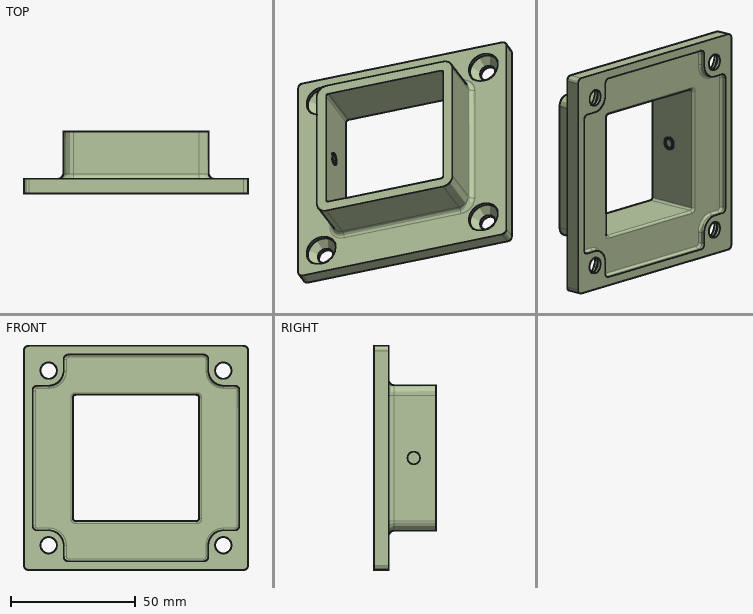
import cadquery as cq
import math

flange_side = 90.0
flange_thickness = 6.0
flange_corner_radius = 2.0

total_depth = 25.0
collar_side = 58.5
collar_corner_radius = 4.05
collar_base_fillet = 2.0

opening_side = 50.5
opening_corner_radius = 1.0
opening_rim_fillet = 1.0
collar_wall = (collar_side - opening_side) / 2

recess_depth = 2.5
recess_margin = 3.5
recess_corner_radius = 2.0
recess_floor_fillet = 1.0
notch_radius = 12.0 / 2
recess_half_side = flange_side / 2 - recess_margin

hole_offset = 35.0
hole_diameter = 6.5
head_diameter = 12.5
hole_land = 1.5
countersink_depth = (head_diameter - hole_diameter) / 2

screw_diameter = 5.0
screw_chamfer = 0.4
screw_cup_diameter = 3.6
screw_cup_depth = 0.3
screw_y = 16.0

pick_margin = 0.1

hole_centers = [(x, z) for x in (-hole_offset, hole_offset) for z in (-hole_offset, hole_offset)]


def square_block(side, depth, corner_radius):
    """Square block from Y = 0 to Y = depth, with its four long edges rounded."""
    block = cq.Workplane("XZ").rect(side, side).extrude(-depth)
    return block.edges("|Y").fillet(corner_radius)


def edges_near_center(y, half_width):
    """Selector for edges in the plane at y whose centers lie within half_width of the Y axis."""
    return cq.selectors.BoxSelector(
        (-half_width, y - pick_margin, -half_width),
        (half_width, y + pick_margin, half_width),
    )


def recess_cutter():
    """Square block, notched at its corners, that hollows the front of the flange."""
    notch_side = 2 * (recess_half_side - hole_offset + notch_radius)
    corners = [
        (math.copysign(recess_half_side, x), math.copysign(recess_half_side, z)) for x, z in hole_centers
    ]
    notches = cq.Workplane("XZ").pushPoints(corners).rect(notch_side, notch_side).extrude(-recess_depth)
    notches = notches.edges("|Y").fillet(notch_radius)

    cutter = cq.Workplane("XZ").rect(2 * recess_half_side, 2 * recess_half_side).extrude(-recess_depth)
    cutter = cutter.cut(notches)
    for side_face in ("<X", ">X", "<Z", ">Z"):
        cutter = cutter.faces(side_face).edges("|Y").fillet(recess_corner_radius)
    return cutter.faces(">Y").edges().fillet(recess_floor_fillet)


def mounting_hole_cutter(x, z):
    """Revolved hole: straight land in front, then the countersink, then the head recess."""
    hole_radius = hole_diameter / 2
    head_radius = head_diameter / 2
    profile = [
        (0, 0),
        (hole_radius, 0),
        (hole_radius, hole_land),
        (head_radius, hole_land + countersink_depth),
        (head_radius, flange_thickness),
        (0, flange_thickness),
    ]
    outline = cq.Workplane("XY", origin=(x, 0, z)).polyline(profile).close()
    return outline.revolve(360, (0, 0, 0), (0, 1, 0))


def screw_cylinder():
    """Plain cylinder across the +X collar wall, for both the screw and its hole."""
    wall_plane = cq.Workplane("YZ", origin=(opening_side / 2, screw_y, 0))
    return wall_plane.circle(screw_diameter / 2).extrude(collar_wall)


def make_housing():
    flange = square_block(flange_side, flange_thickness, flange_corner_radius)
    collar = square_block(collar_side, total_depth, collar_corner_radius)
    body = flange.union(collar)

    between_collar_and_rim = (flange_side + collar_side) / 4
    collar_base = edges_near_center(flange_thickness, between_collar_and_rim)
    body = body.edges(collar_base).fillet(collar_base_fillet)

    body = body.cut(recess_cutter())
    body = body.cut(square_block(opening_side, total_depth, opening_corner_radius))
    opening_rim = edges_near_center(recess_depth, opening_side / 2 + pick_margin)
    body = body.edges(opening_rim).fillet(opening_rim_fillet)

    for x, z in hole_centers:
        body = body.cut(mounting_hole_cutter(x, z))
    return body.cut(screw_cylinder()).solids()


def make_set_screw():
    """Set screw with a chamfered, slightly cupped inner end."""
    screw = screw_cylinder().faces("<X").chamfer(screw_chamfer)
    return screw.faces("<X").workplane().circle(screw_cup_diameter / 2).cutBlind(-screw_cup_depth).solids()


housing = make_housing()
set_screw = make_set_screw()
result = cq.Compound.makeCompound([housing.val(), set_screw.val()])